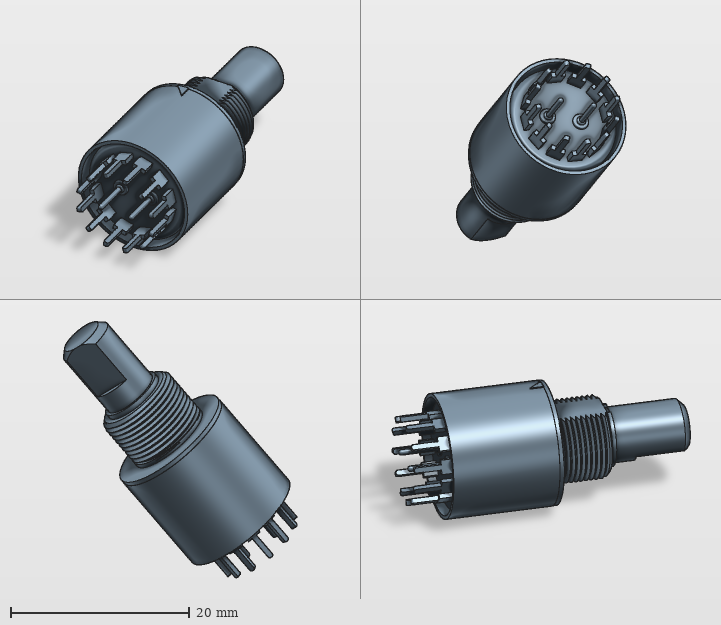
import cadquery as cq
import math


overall_length = 32.69

shaft_radius = 6.35 / 2
shaft_tip_y = 15.875
shaft_tip_chamfer = 0.77
shaft_turn = 15.0
flat_distance = 2.36
flat_end_y = 9.525

bushing_length = 6.4
thread_radius = 9.525 / 2
thread_depth = 0.48
thread_pitch = 0.585
thread_start_y = 0.175
thread_half_angle = 29.0
thread_crest_width = 0.04
thread_overlap = 0.03
thread_end_chamfer = 0.55
shoulder_length = 0.5
bushing_flat_z = 3.9

collar_radius = 3.57
collar_length = 0.62
collar_end_y = bushing_length + collar_length
notch_floor_radius = 3.25
notch_floor_width = 1.06
notch_top_width = 2.25

housing_radius = 14.27 / 2
housing_rim_y = -12.83
housing_wall = 0.42
flange_radius = 7.11
flange_thickness = 0.508
mark_height = 0.13
mark_width = 1.45
mark_length = 1.6

base_radius = 6.42
base_face_y = -12.05
base_fillet = 0.635
eyelet_radius = 0.92
eyelet_flange_height = 0.3
eyelet_flange_round = 0.12
bead_radius = 0.52
bead_height = 0.55
bead_round = 0.19

terminal_count = 12
terminal_circle_radius = 4.85
terminal_thickness = 0.56
blade_width = 1.68
blade_end_y = -13.7
pin_width = 0.62
pin_end_y = shaft_tip_y - overall_length
pin_tip_round = 0.22
post_offset = 1.97
post_radius = 0.31
post_tip_round = 0.28

housing_bore_radius = housing_radius - housing_wall
thread_root_radius = thread_radius - thread_depth


def cylinder(radius, start_y, end_y):
    """Cylinder on the switch axis."""
    return cq.Workplane("XZ", origin=(0, end_y, 0)).circle(radius).extrude(end_y - start_y)


def make_shaft():
    """Round shaft with a chamfered tip and a flat towards its end."""
    rod = cylinder(shaft_radius, -flange_thickness, shaft_tip_y).faces(">Y").chamfer(shaft_tip_chamfer)
    flat_length = shaft_tip_y - flat_end_y
    flat_depth = shaft_radius - flat_distance
    flat_cut = (
        cq.Workplane("XY")
        .box(2 * shaft_radius, flat_length, flat_depth, centered=(True, False, False))
        .translate((0, flat_end_y, -shaft_radius))
        .rotate((0, 0, 0), (0, 1, 0), -shaft_turn)
    )
    return rod.cut(flat_cut)


def make_collar():
    """Collar in front of the thread, with a shallow notch on top."""
    collar = cylinder(collar_radius, bushing_length, collar_end_y)
    notch = (
        cq.Workplane("XZ", origin=(0, collar_end_y, 0))
        .polyline([
            (notch_floor_width / 2, 0),
            (notch_floor_width / 2, notch_floor_radius),
            (notch_top_width / 2, collar_radius),
            (-notch_top_width / 2, collar_radius),
            (-notch_floor_width / 2, notch_floor_radius),
            (-notch_floor_width / 2, 0),
        ])
        .close()
        .extrude(collar_length)
        .cut(cylinder(notch_floor_radius, bushing_length, collar_end_y))
    )
    return collar.cut(notch)


def make_thread_ridge():
    """Helical ridge with a V profile, its root sunk slightly into the bushing core."""
    inner_radius = thread_root_radius - thread_overlap
    half_base = (thread_radius - inner_radius) * math.tan(math.radians(thread_half_angle))
    profile = [
        (inner_radius, -half_base),
        (thread_radius, -thread_crest_width / 2),
        (thread_radius, thread_crest_width / 2),
        (inner_radius, half_base),
    ]
    helix = cq.Wire.makeHelix(thread_pitch, bushing_length + thread_pitch, thread_root_radius)
    ridge = cq.Workplane("XZ").polyline(profile).close().sweep(cq.Workplane(obj=helix), isFrenet=True)
    return ridge.rotate((0, 0, 0), (1, 0, 0), -90).translate((0, thread_start_y, 0))


def make_bushing():
    """Threaded bushing with a plain collar, a chamfered end and a flat on top."""
    trim = 2 * thread_pitch
    thread = cylinder(thread_root_radius, -trim, bushing_length + trim).union(make_thread_ridge())
    envelope = (
        cylinder(thread_radius + trim, 0, bushing_length)
        .faces(">Y")
        .chamfer(thread_end_chamfer + trim)
    )
    collar = cylinder(thread_radius, 0, shoulder_length)
    flat_cut = (
        cq.Workplane("XY", origin=(0, 0, bushing_flat_z))
        .rect(4 * thread_radius, 4 * bushing_length)
        .extrude(thread_radius)
    )
    return thread.intersect(envelope).union(collar).cut(flat_cut)


def make_index_mark():
    """Raised triangular mark on top of the housing, following its curve."""
    triangle = (
        cq.Workplane("XY")
        .polyline([
            (0, -flange_thickness),
            (0, -flange_thickness - mark_length),
            (-mark_width, -flange_thickness),
        ])
        .close()
        .extrude(2 * housing_radius)
    )
    mark_end_y = -flange_thickness - mark_length
    shell = cylinder(housing_radius + mark_height, mark_end_y, -flange_thickness)
    return triangle.intersect(shell)


def make_housing():
    """Cup-shaped housing with its flange, bushing and index mark, bored for the shaft and the base."""
    flange = cylinder(flange_radius, -flange_thickness, 0)
    can = cylinder(housing_radius, housing_rim_y, -flange_thickness)
    cavity = cylinder(housing_bore_radius, housing_rim_y, -flange_thickness)
    shaft_bore = cylinder(shaft_radius, -flange_thickness, collar_end_y)
    body = can.union(make_index_mark()).cut(cavity)
    return body.union(flange).union(make_bushing()).union(make_collar()).cut(shaft_bore)


def make_terminal():
    """Flat terminal at the top of the terminal circle: a wide blade and a narrow round-ended pin."""
    blade = (
        cq.Workplane("XY")
        .box(blade_width, base_face_y - blade_end_y, terminal_thickness, centered=(True, False, True))
        .translate((0, blade_end_y, 0))
    )
    pin = (
        cq.Workplane("XY")
        .box(pin_width, blade_end_y - pin_end_y, terminal_thickness, centered=(True, False, True))
        .translate((0, pin_end_y, 0))
        .faces("<Y").edges("|Z").fillet(pin_tip_round)
    )
    return blade.union(pin).translate((0, 0, terminal_circle_radius))


def make_post():
    """Round centre post with a rounded tip, standing in a stepped, rounded eyelet."""
    post = cylinder(post_radius, pin_end_y, base_face_y).faces("<Y").fillet(post_tip_round)
    step_face_y = base_face_y - eyelet_flange_height
    step = cylinder(eyelet_radius, step_face_y, base_face_y).faces("<Y").fillet(eyelet_flange_round)
    bead = cylinder(bead_radius, base_face_y - bead_height, base_face_y).faces("<Y").fillet(bead_round)
    return post.union(step).union(bead)


def make_base():
    """Round base inside the housing that carries the terminal circle and the two centre posts."""
    base = cylinder(base_radius, base_face_y, -flange_thickness).faces("<Y").edges().fillet(base_fillet)
    terminal = make_terminal()
    angle_step = 360 / terminal_count
    for index in range(terminal_count):
        base = base.union(terminal.rotate((0, 0, 0), (0, 1, 0), (index + 0.5) * angle_step))
    for side in (-1, 1):
        base = base.union(make_post().translate((side * post_offset, 0, 0)))
    return base


shaft = make_shaft()
housing = make_housing()
base = make_base()

result = cq.Compound.makeCompound([shaft.val(), housing.val(), base.val()])